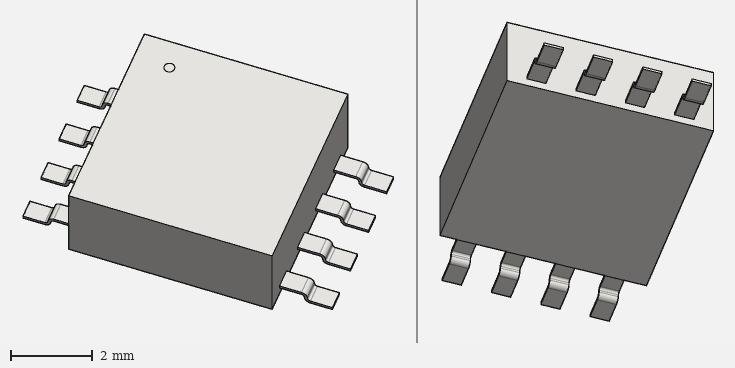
import cadquery as cq
import math

TIP_TO_TIP = 8.1
BODY_SIDE = 5.33
BODY_HEIGHT = 2.16

LEADS_PER_SIDE = 4
LEAD_PITCH = 1.27
LEAD_WIDTH = 0.495
LEAD_THICKNESS = 0.08
LEAD_RISE = 0.24
FOOT_LENGTH = 0.575
BEND_RADIUS = 0.07
RISER_TILT = 10.0

MARKER_DIAMETER = 0.27
MARKER_DEPTH = 0.04
MARKER_FROM_SIDE = 0.94
MARKER_FROM_BACK = 0.76


def make_marker():
    """Disc flush with the top face, near the corner beside pin 1."""
    return (
        cq.Workplane("XY", origin=(0, 0, BODY_HEIGHT - MARKER_DEPTH))
        .center(MARKER_FROM_SIDE - BODY_SIDE / 2, BODY_SIDE / 2 - MARKER_FROM_BACK)
        .circle(MARKER_DIAMETER / 2)
        .extrude(MARKER_DEPTH)
    )


def make_body(marker):
    """Plain block standing on Z = 0, with a recess that fits the marker."""
    block = cq.Workplane("XY").box(BODY_SIDE, BODY_SIDE, BODY_HEIGHT, centered=(True, True, False))
    return block.cut(marker)


def polar(center, radius, degrees):
    """Point at a radius and angle around a centre, in the XZ plane."""
    angle = math.radians(degrees)
    return (center[0] + radius * math.cos(angle), center[1] + radius * math.sin(angle))


def make_lead():
    """Lead on the -X side, centred on Y = 0: foot, S-shaped riser and shoulder."""
    tip_x = -TIP_TO_TIP / 2
    face_x = -BODY_SIDE / 2
    inner = BEND_RADIUS
    outer = BEND_RADIUS + LEAD_THICKNESS
    tilt = math.radians(RISER_TILT)

    bend_height = (inner + outer) * (1 - math.sin(tilt))
    riser = (LEAD_RISE - bend_height) / math.cos(tilt)
    run = (inner + outer) * math.cos(tilt) + riser * math.sin(tilt)

    low = (tip_x + FOOT_LENGTH, outer)
    high = (low[0] + run, LEAD_RISE - inner)

    low_end = -RISER_TILT
    low_mid = (low_end - 90) / 2
    high_end = 180 - RISER_TILT
    high_mid = (high_end + 90) / 2

    profile = (
        cq.Workplane("XZ", origin=(0, LEAD_WIDTH / 2, 0))
        .moveTo(tip_x, 0)
        .lineTo(low[0], 0)
        .threePointArc(polar(low, outer, low_mid), polar(low, outer, low_end))
        .lineTo(*polar(high, inner, high_end))
        .threePointArc(polar(high, inner, high_mid), polar(high, inner, 90))
        .lineTo(face_x, LEAD_RISE)
        .lineTo(face_x, LEAD_RISE + LEAD_THICKNESS)
        .lineTo(high[0], LEAD_RISE + LEAD_THICKNESS)
        .threePointArc(polar(high, outer, high_mid), polar(high, outer, high_end))
        .lineTo(*polar(low, inner, low_end))
        .threePointArc(polar(low, inner, low_mid), polar(low, inner, -90))
        .lineTo(tip_x, LEAD_THICKNESS)
        .close()
    )
    return profile.extrude(LEAD_WIDTH)


def make_leads():
    """One row of leads on the -X side and its mirror image on the +X side."""
    left_lead = make_lead()
    right_lead = left_lead.mirror("YZ")
    first_y = -LEAD_PITCH * (LEADS_PER_SIDE - 1) / 2
    leads = []
    for index in range(LEADS_PER_SIDE):
        offset = (0, first_y + index * LEAD_PITCH, 0)
        leads.append(left_lead.translate(offset).val())
        leads.append(right_lead.translate(offset).val())
    return leads


marker = make_marker()
body = make_body(marker)
leads = make_leads()

result = cq.Compound.makeCompound([body.val(), marker.val(), *leads])